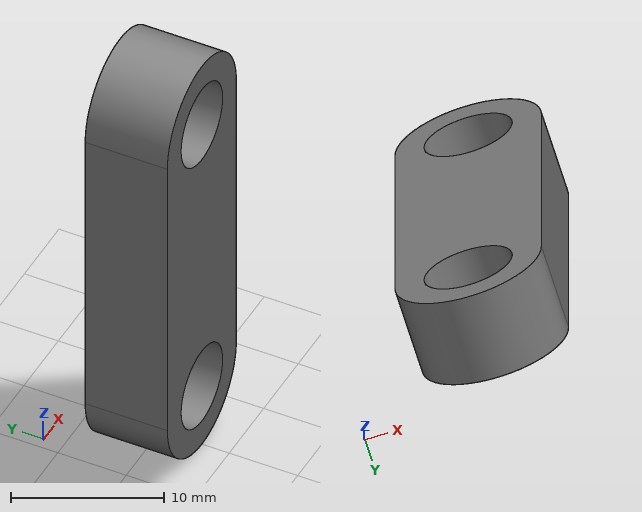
import cadquery as cq

length = 32.5
width = 10.0
thickness = 6.0
hole_diameter = 6.0

hole_spacing = length - width

back_face = cq.Workplane("XZ", origin=(0, thickness / 2, 0))

plate = back_face.slot2D(length, width, angle=90).extrude(thickness)

holes = (
    back_face
    .pushPoints([(0, -hole_spacing / 2), (0, hole_spacing / 2)])
    .circle(hole_diameter / 2)
    .extrude(thickness)
)

result = plate.cut(holes)